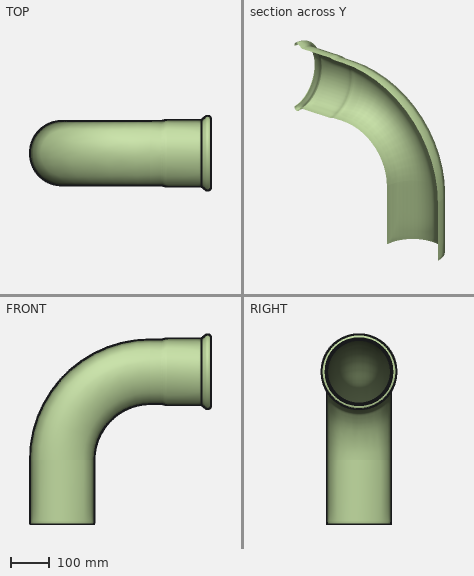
import math

import cadquery as cq


wall = 2.0
pipe_radius = 168.3 / 2
bend_radius = 228.0
spigot_length = 167.0
spigot_taper_length = 7.0
spigot_taper_depth = 1.0
spigot_end = -bend_radius - spigot_length

socket_radius = 174.0 / 2
flare_start = 27.5
flare_length = 16.5
bead_neck = 132.5
socket_length = 158.0
bead_radius = 195.0 / 2
mouth_radius = 173.0 / 2

bead_crest_radius = bead_radius - wall - mouth_radius
bead_crest_height = bead_radius - bead_crest_radius
bead_crest_position = socket_length - bead_crest_radius

neck_run = bead_crest_position - bead_neck
neck_rise = bead_crest_height - socket_radius
cone_angle = math.atan2(neck_rise, neck_run) + math.asin(bead_crest_radius / math.hypot(neck_run, neck_rise))

flare_rise = socket_radius - pipe_radius
flare_angle = 2 * math.atan2(flare_rise, flare_length)


def crest_point(crest_radius, angle):
    """Point on the bead crest, with the angle measured from the socket axis direction."""
    return (
        bend_radius + bead_crest_position + crest_radius * math.cos(angle),
        bead_crest_height + crest_radius * math.sin(angle),
    )


def spigot(radius):
    """Straight rod below the bend."""
    return cq.Workplane("XY", origin=(0, 0, spigot_end)).circle(radius).extrude(spigot_length)


def elbow(radius):
    """Quarter-turn rod that joins the spigot to the socket."""
    return (
        cq.Workplane("XY", origin=(0, 0, -bend_radius))
        .circle(radius)
        .revolve(90, (bend_radius, 0, 0), (bend_radius, 1, 0))
    )


def socket(inset):
    """Solid of revolution about X, lying inside the socket's outer skin by the inset."""
    crest_radius = bead_crest_radius - inset
    touch_angle = cone_angle + math.pi / 2
    top_angle = touch_angle / 2
    flare_end = bend_radius + flare_start + flare_length
    flare_middle = (
        bend_radius + flare_start + flare_length / 2 + inset * math.sin(flare_angle),
        (pipe_radius + socket_radius) / 2 - inset * math.cos(flare_angle),
    )
    neck = bend_radius + bead_neck + inset * math.tan(cone_angle / 2)
    return (
        cq.Workplane("XZ")
        .moveTo(bend_radius, 0)
        .lineTo(bend_radius, pipe_radius - inset)
        .lineTo(bend_radius + flare_start, pipe_radius - inset)
        .tangentArcPoint(flare_middle, relative=False)
        .tangentArcPoint((flare_end, socket_radius - inset), relative=False)
        .lineTo(neck, socket_radius - inset)
        .lineTo(*crest_point(crest_radius, touch_angle))
        .threePointArc(crest_point(crest_radius, top_angle), crest_point(crest_radius, 0))
        .lineTo(bend_radius + socket_length - inset, 0)
        .close()
        .revolve(360, (0, 0, 0), (1, 0, 0))
    )


def tapered_spigot():
    """Spigot whose outer skin narrows slightly towards its open end."""
    return spigot(pipe_radius).faces("<Z").chamfer(spigot_taper_length, spigot_taper_depth)


def mouth():
    """Round opening through the end wall of the bead."""
    end_wall_start = bend_radius + socket_length - wall
    return cq.Workplane("YZ", origin=(end_wall_start, 0, 0)).circle(mouth_radius).extrude(wall)


outer_body = tapered_spigot().union(elbow(pipe_radius)).union(socket(0))
bore_radius = pipe_radius - wall
result = outer_body.cut(spigot(bore_radius)).cut(elbow(bore_radius)).cut(socket(wall)).cut(mouth())